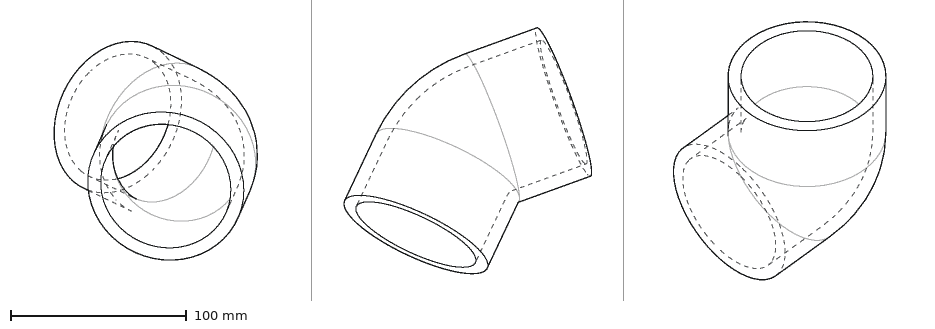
import cadquery as cq

outer_diameter = 90.0
bore_diameter = 75.0
socket_length = 44.0
bend_angle = 45

inner_bend_radius = 0.01
bend_radius = outer_diameter / 2 + inner_bend_radius
pivot_bottom = (0, -bend_radius, 0)
pivot_top = (0, -bend_radius, 1)


def elbow_solid(diameter):
    """Solid rod of the given diameter following the elbow's centre line."""
    radius = diameter / 2
    inlet = cq.Workplane("YZ").circle(radius).extrude(-socket_length)
    bend = cq.Workplane("YZ").circle(radius).revolve(bend_angle, (-bend_radius, 0), (-bend_radius, -1))
    outlet = cq.Workplane("YZ").circle(radius).extrude(socket_length)
    outlet = outlet.rotate(pivot_bottom, pivot_top, -bend_angle)
    return inlet.union(bend).union(outlet)


result = elbow_solid(outer_diameter).cut(elbow_solid(bore_diameter))